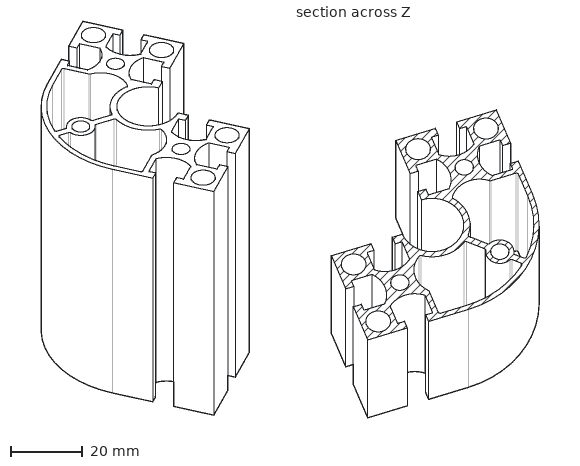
import cadquery as cq


length = 80.0
cell = 30.0
half_cell = cell / 2
skin = 1.6
web = 1.65

slot_opening = 6.2
slot_width = 10.3
lip = 2.5
floor_radius = 7.8
floor_distance = 4.5
floor_center = floor_distance + floor_radius
pocket_arc_distance = 4.75
pocket_arc_center = pocket_arc_distance + floor_radius

center_hole_diameter = 5.0
corner_hole_diameter = 6.8
corner_hole_offset = 10.1

bore_radius = 8.8
ring_radius = 10.7
boss_offset = 14.8
boss_radius = 4.0
boss_hole_diameter = 5.0
rib_thickness = 2.0
pocket_fillet = 0.5

MIRROR_NORMAL = (1, -1, 0)


def block(x_min, x_max, y_min, y_max):
    """Full-length rectangular bar between the given limits."""
    bar = cq.Workplane("XY").box(x_max - x_min, y_max - y_min, length, centered=False)
    return bar.translate((x_min, y_min, 0))


def rod(x, y, radius):
    """Full-length cylinder parallel to Z."""
    return cq.Workplane("XY").center(x, y).circle(radius).extrude(length)


def with_mirror(shape):
    """Shape together with its reflection in the plane y = x."""
    return shape.union(shape.mirror(MIRROR_NORMAL))


def quarter_round(radius):
    """Quarter cylinder in the -X, -Y quadrant."""
    return rod(0, 0, radius).intersect(block(-radius, 0, -radius, 0))


def t_slot():
    """T-slot cutter in the +Y face of a cell centred on the Z axis."""
    half_width = slot_width / 2
    mouth = block(-slot_opening / 2, slot_opening / 2, floor_center, half_cell)
    chamber = block(-half_width, half_width, 0, half_cell - lip)
    rounded = rod(0, floor_center, floor_radius)
    return mouth.union(chamber.intersect(rounded))


def cell_cutters():
    """Slots and round holes of the upper-left cell."""
    cutters = rod(0, 0, center_hole_diameter / 2)
    for angle in (-90, 0, 90):
        cutters = cutters.union(t_slot().rotate((0, 0, 0), (0, 0, 1), angle))
    for x in (-corner_hole_offset, corner_hole_offset):
        cutters = cutters.union(rod(x, corner_hole_offset, corner_hole_diameter / 2))
    return cutters.translate((-half_cell, half_cell, 0))


def pocket():
    """Hollow between the outer round, the upper-left cell, the ring and the rib."""
    inner_radius = cell - skin
    top = half_cell - slot_width / 2 - web
    cavity = quarter_round(inner_radius)
    cavity = cavity.union(block(-inner_radius, -half_cell, 0, top))
    cavity = cavity.union(rod(-half_cell, half_cell - pocket_arc_center, floor_radius))

    other_side = block(-2 * cell, 2 * cell, -2 * cell, rib_thickness / 2)
    other_side = other_side.rotate((0, 0, 0), (0, 0, 1), 45)
    cavity = cavity.cut(other_side)
    cavity = cavity.cut(rod(0, 0, ring_radius))
    cavity = cavity.cut(rod(-boss_offset, -boss_offset, boss_radius))
    return cavity.edges("|Z").fillet(pocket_fillet)


body = quarter_round(cell).union(rod(0, 0, ring_radius))
body = body.union(with_mirror(block(-cell, 0, 0, cell)))
body = body.cut(block(0, cell, 0, cell))

body = body.cut(with_mirror(cell_cutters()))
body = body.cut(with_mirror(pocket()))
body = body.cut(rod(0, 0, bore_radius))
result = body.cut(rod(-boss_offset, -boss_offset, boss_hole_diameter / 2))